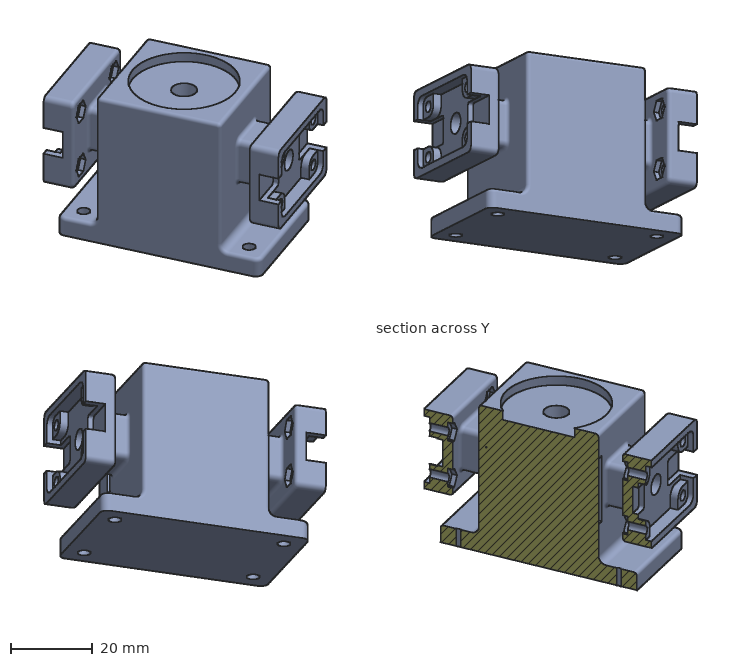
import cadquery as cq
import math

base_length = 54.0
base_height = 5.0
base_corner_radius = 2.0
body_width = 32.0
block_length = 33.0
body_height = 41.0
foot_radius = 2.0
body_edge_radius = 1.0

mount_hole_diameter = 3.2
mount_spacing_x = 44.0
mount_spacing_y = 22.0

recess_diameter = 27.3
recess_depth = 2.5
socket_top_diameter = 6.4
socket_bottom_diameter = 4.75
socket_floor_radius = 1.0
socket_depth = 10.0

left_neck_length = 6.5
right_neck_length = 7.0
axis_height = 25.0
plate_thickness = 8.0
plate_width = 30.0
left_plate_height = 24.5
right_plate_height = 22.25
plate_corner_radius = 1.5
plate_edge_radius = 1.0
neck_size = 12.0
neck_corner_radius = 1.5
neck_end_radius = 1.0

rim_width = 2.0
pocket_depth = 3.65
pocket_corner_radius = 2.25
boss_size = 5.4
boss_corner_radius = boss_size / 2
boss_setback = 1.5
notch_height = 7.3
notch_depth = 5.1
notch_inner_y = 6.4
notch_corner_radius = 0.75

screw_hole_diameter = 2.7
nut_across_flats = 5.0
nut_trap_depth = 1.4

bore_diameter = 2.0
counterbore_diameter = 5.3
counterbore_depth = 6.0

slot_outer_y = 9.5
slot_width = 1.6
slot_height = 18.2
slot_depth = 2.0

tolerance = 0.1

block_face = block_length / 2
left_end = block_face + left_neck_length + plate_thickness
right_end = block_face + right_neck_length + plate_thickness


def bar_along_x(x_start, x_end, size_y, size_z, y=0.0, z=axis_height):
    """Rectangular bar running along X between two stations."""
    return (
        cq.Workplane("YZ", origin=(x_start, y, z))
        .rect(size_y, size_z)
        .extrude(x_end - x_start)
    )


def rod_along_x(x_start, x_end, diameter, y=0.0, z=axis_height):
    """Round bar running along X between two stations."""
    return (
        cq.Workplane("YZ", origin=(x_start, y, z))
        .circle(diameter / 2)
        .extrude(x_end - x_start)
    )


def make_body():
    base = (
        cq.Workplane("XY")
        .box(base_length, body_width, base_height, centered=(True, True, False))
        .edges("|Z")
        .fillet(base_corner_radius)
    )
    block = cq.Workplane("XY").box(
        block_length, body_width, body_height, centered=(True, True, False)
    )
    foot_band = cq.selectors.BoxSelector(
        (-block_face - tolerance, -body_width, base_height - tolerance),
        (block_face + tolerance, body_width, base_height + tolerance),
    )
    body = base.union(block).clean()
    body = body.edges(foot_band).edges("|Y").fillet(foot_radius)
    return body.faces(">Z or <Y").edges("not <Z").fillet(body_edge_radius)


def make_socket():
    """Tapered round socket with a rounded floor, as a solid to cut away."""
    socket_top = body_height - recess_depth
    return (
        cq.Workplane("XY", origin=(0, 0, socket_top))
        .circle(socket_top_diameter / 2)
        .workplane(offset=-socket_depth)
        .circle(socket_bottom_diameter / 2)
        .loft()
        .faces("<Z")
        .edges()
        .fillet(socket_floor_radius)
    )


def cut_top_recess(body):
    recess = (
        cq.Workplane("XY", origin=(0, 0, body_height))
        .circle(recess_diameter / 2)
        .extrude(-recess_depth)
    )
    return body.cut(recess).cut(make_socket())


def cut_mount_holes(body):
    holes = (
        cq.Workplane("XY")
        .rarray(mount_spacing_x, mount_spacing_y, 2, 2)
        .circle(mount_hole_diameter / 2)
        .extrude(base_height)
    )
    return body.cut(holes)


def cut_side_slot(body):
    slot = bar_along_x(
        -block_face,
        -block_face + slot_depth,
        slot_width,
        slot_height,
        y=slot_outer_y - slot_width / 2,
    )
    return body.cut(slot)


def screw_positions(plate_height):
    """Y and Z of the four screw holes, one in the middle of each corner boss."""
    y_offset = plate_width / 2 - rim_width - boss_size / 2
    z_offset = plate_height / 2 - rim_width - boss_size / 2
    return [
        (side_y * y_offset, axis_height + side_z * z_offset)
        for side_y in (-1, 1)
        for side_z in (-1, 1)
    ]


def make_plate_pocket(plate_height):
    """Recess of a plate: a rounded pocket less four bosses, plus two side notches."""
    pocket = bar_along_x(
        plate_thickness - pocket_depth,
        plate_thickness,
        plate_width - 2 * rim_width,
        plate_height - 2 * rim_width,
    )
    pocket = pocket.edges("|X").fillet(pocket_corner_radius)

    for y, z in screw_positions(plate_height):
        boss = bar_along_x(
            plate_thickness - pocket_depth, plate_thickness - boss_setback, boss_size, boss_size, y, z
        )
        inner_side = ("<Y" if y > 0 else ">Y") + " and " + ("<Z" if z > axis_height else ">Z")
        boss = boss.edges("|X").edges(inner_side).fillet(boss_corner_radius)
        pocket = pocket.cut(boss)

    notch_length = plate_width / 2 - notch_inner_y
    for side, inner_face in ((-1, ">Y"), (1, "<Y")):
        notch = bar_along_x(
            plate_thickness - notch_depth,
            plate_thickness,
            notch_length,
            notch_height,
            y=side * (notch_inner_y + notch_length / 2),
        )
        notch = notch.faces(inner_face).edges("|X").fillet(notch_corner_radius)
        pocket = pocket.union(notch)
    return pocket


def make_nut_traps(plate_height):
    """Hexagonal nut traps in the back of a plate, flats at the top and bottom."""
    return (
        cq.Workplane("YZ")
        .pushPoints(screw_positions(plate_height))
        .polygon(6, nut_across_flats / math.cos(math.pi / 6))
        .extrude(nut_trap_depth)
    )


def make_plate(plate_height):
    """Connector plate facing +X with its back at X = 0, complete except for the axial bores."""
    plate = (
        bar_along_x(0, plate_thickness, plate_width, plate_height)
        .edges("|X")
        .fillet(plate_corner_radius)
        .faces("<X")
        .edges()
        .fillet(plate_edge_radius)
    )
    plate = plate.cut(make_plate_pocket(plate_height)).cut(make_nut_traps(plate_height))
    for y, z in screw_positions(plate_height):
        plate = plate.cut(rod_along_x(0, plate_thickness, screw_hole_diameter, y, z))
    return plate


def join_end(body, neck_length, plate_height, mirrored):
    """Add a neck and a plate at one end and round the joints of the neck."""
    side = -1 if mirrored else 1
    plate_back = block_face + neck_length
    neck = bar_along_x(block_face, plate_back, neck_size, neck_size)
    neck = neck.edges("|X").fillet(neck_corner_radius)
    end = neck.union(make_plate(plate_height).translate((plate_back, 0, 0)))
    if mirrored:
        end = end.mirror("YZ")
    body = body.union(end)

    reach = neck_size / 2 + tolerance
    for station in (block_face, plate_back):
        joint = cq.selectors.BoxSelector(
            (side * station - tolerance, -reach, axis_height - reach),
            (side * station + tolerance, reach, axis_height + reach),
        )
        body = body.edges(joint).fillet(neck_end_radius)
    return body


def cut_axial_bores(body):
    body = body.cut(rod_along_x(-left_end, right_end, bore_diameter))
    for side, end in ((-1, left_end), (1, right_end)):
        bore_start = end - pocket_depth - counterbore_depth
        bore_end = end - pocket_depth
        body = body.cut(rod_along_x(side * bore_start, side * bore_end, counterbore_diameter))
    return body


result = make_body()
result = join_end(result, right_neck_length, right_plate_height, mirrored=False)
result = join_end(result, left_neck_length, left_plate_height, mirrored=True)
result = cut_axial_bores(result)
result = cut_top_recess(result)
result = cut_mount_holes(result)
result = cut_side_slot(result)